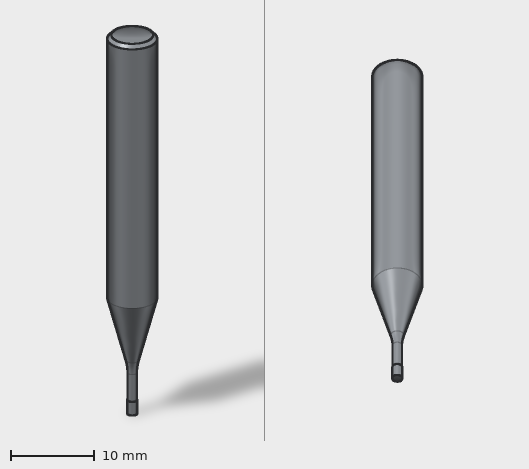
import cadquery as cq
import math

total_length = 50.0
shank_radius = 3.0
shank_chamfer = 0.5

head_radius = 0.6
head_length = 1.8

neck_radius = 0.575
relief_top = 1.95
neck_top = 5.4

cone_half_angle = math.radians(15)
blend_height = 1.65
blend_top = neck_top + blend_height

blend_arc_radius = blend_height / math.sin(cone_half_angle)
blend_end_radius = neck_radius + blend_arc_radius * (1 - math.cos(cone_half_angle))
blend_mid_angle = cone_half_angle / 2
blend_mid = (
    neck_radius + blend_arc_radius * (1 - math.cos(blend_mid_angle)),
    neck_top + blend_arc_radius * math.sin(blend_mid_angle),
)
cone_top = blend_top + (shank_radius - blend_end_radius) / math.tan(cone_half_angle)


def make_cutting_head():
    """Plain cylinder at the tip of the tool."""
    return cq.Workplane("XY").circle(head_radius).extrude(head_length)


def make_shank():
    """Neck, blend, cone and chamfered shank, revolved as one body about Z."""
    profile = (
        cq.Workplane("XZ")
        .moveTo(0, head_length)
        .lineTo(head_radius, head_length)
        .lineTo(neck_radius, relief_top)
        .lineTo(neck_radius, neck_top)
        .threePointArc(blend_mid, (blend_end_radius, blend_top))
        .lineTo(shank_radius, cone_top)
        .lineTo(shank_radius, total_length - shank_chamfer)
        .lineTo(shank_radius - shank_chamfer, total_length)
        .lineTo(0, total_length)
        .close()
    )
    return profile.revolve(360, (0, 0, 0), (0, 1, 0))


cutting_head = make_cutting_head()
shank = make_shank()

result = cq.Compound.makeCompound([cutting_head.val(), shank.val()])